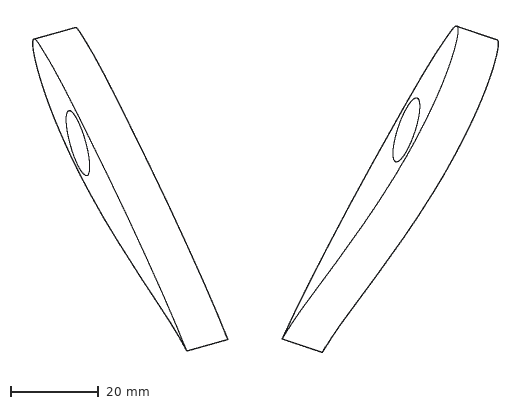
import cadquery as cq

chord = 100.0
width = 10.0
hole_diameter = 15.3
hole_x = 29.4
hole_z = -3.4

nose = (0, 0)
trailing_edge = (chord, 0)

upper_stations = [
    (1.2, 2.5),
    (5, 4.1),
    (10, 5.1),
    (20, 6.1),
    (30, 6.3),
    (45, 6.1),
    (60, 5.5),
    (75, 4.2),
    (90, 2.2),
]

lower_stations = [
    (1.2, -3.6),
    (5, -7.3),
    (10, -9.9),
    (20, -12.3),
    (29, -12.9),
    (40, -12.2),
    (50, -10.8),
    (60, -8.7),
    (75, -5.2),
    (90, -1.4),
]


def airfoil_blank():
    """Airfoil plate: one smooth curve runs round the nose and meets itself at a sharp tail."""
    curve = [trailing_edge, *reversed(upper_stations), nose, *lower_stations, trailing_edge]
    return (
        cq.Workplane("XZ", origin=(0, width / 2, 0))
        .spline(curve)
        .close()
        .extrude(width)
    )


def spar_hole():
    """Round bar that cuts the hole through the full width."""
    return (
        cq.Workplane("XZ", origin=(0, width / 2, 0))
        .center(hole_x, hole_z)
        .circle(hole_diameter / 2)
        .extrude(width)
    )


result = airfoil_blank().cut(spar_hole())